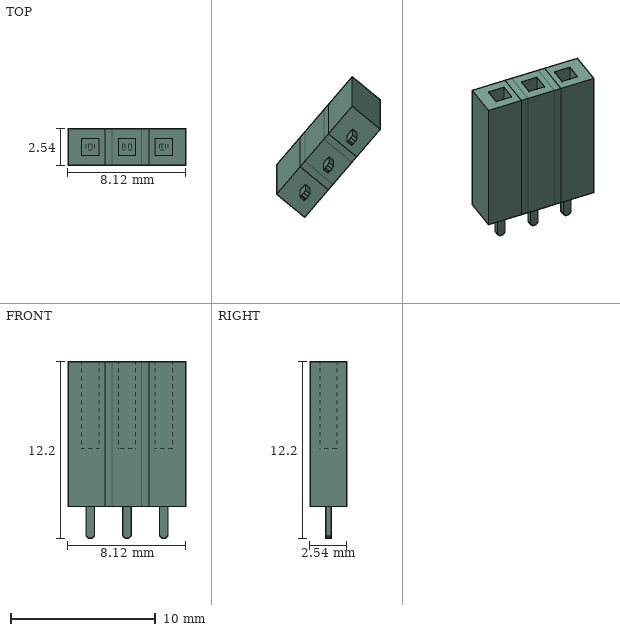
import cadquery as cq

PITCH = 2.54
JOINT_WIDTH = 0.5
HOUSING_HEIGHT = 10.0

SOCKET_SIDE = 1.2
SOCKET_DEPTH = 6.0

PIN_WIDTH = 0.6
PIN_THICKNESS = 0.4
PIN_LENGTH = 2.2
PIN_TIP_CHAMFER = 0.18

CELL_WIDTH = PITCH + JOINT_WIDTH
CORE_WIDTH = CELL_WIDTH - 2 * JOINT_WIDTH
END_WIDTH = CELL_WIDTH - JOINT_WIDTH


def block(center_x, width):
    """Housing block of full depth and height, standing on the base plane."""
    return (
        cq.Workplane("XY")
        .center(center_x, 0)
        .box(width, PITCH, HOUSING_HEIGHT, centered=(True, True, False))
    )


def socket(center_x):
    """Square pocket volume, open at the top of the housing."""
    return (
        cq.Workplane("XY", origin=(center_x, 0, HOUSING_HEIGHT))
        .rect(SOCKET_SIDE, SOCKET_SIDE)
        .extrude(-SOCKET_DEPTH)
    )


def pin(center_x):
    """Flat solder pin hanging below the base, its tip narrowed across the width."""
    return (
        cq.Workplane("XZ", origin=(center_x, 0, 0))
        .moveTo(-PIN_WIDTH / 2, 0)
        .lineTo(-PIN_WIDTH / 2, PIN_TIP_CHAMFER - PIN_LENGTH)
        .lineTo(PIN_TIP_CHAMFER - PIN_WIDTH / 2, -PIN_LENGTH)
        .lineTo(PIN_WIDTH / 2 - PIN_TIP_CHAMFER, -PIN_LENGTH)
        .lineTo(PIN_WIDTH / 2, PIN_TIP_CHAMFER - PIN_LENGTH)
        .lineTo(PIN_WIDTH / 2, 0)
        .close()
        .extrude(PIN_THICKNESS / 2, both=True)
    )


def centre_module():
    """Centre module with a joint strip on each side; clean=False keeps the strip seam lines."""
    body = block(0, CORE_WIDTH)
    for side in (-1, 1):
        strip = block(side * (CORE_WIDTH + JOINT_WIDTH) / 2, JOINT_WIDTH)
        body = body.union(strip, clean=False)
    return body.cut(socket(0), clean=False).union(pin(0), clean=False)


def end_module(side):
    """End module on the -X (side = -1) or +X (side = 1) end of the strip."""
    contact_x = side * PITCH
    block_x = side * (CELL_WIDTH + END_WIDTH) / 2
    return block(block_x, END_WIDTH).cut(socket(contact_x)).union(pin(contact_x))


centre = centre_module()
ends = [end_module(side) for side in (-1, 1)]

modules = [centre, *ends]
result = cq.Compound.makeCompound([module.solids().val() for module in modules])